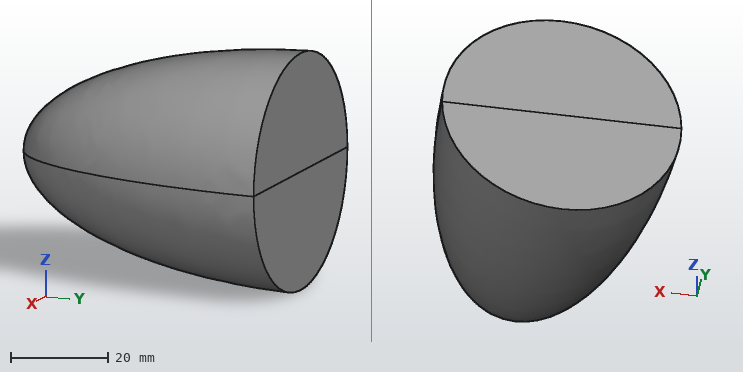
import cadquery as cq
import math

length = 61.0
base_diameter = 50.0
spheroid_semi_length = 65.15

base_y = length / 2
tip_y = -length / 2
spheroid_centre_y = tip_y + spheroid_semi_length
base_radius = base_diameter / 2
base_offset_ratio = (spheroid_centre_y - base_y) / spheroid_semi_length
spheroid_radius = base_radius / math.sqrt(1 - base_offset_ratio**2)

base_angle = -math.degrees(math.asin(base_offset_ratio))
tip_angle = -90.0
half_turn = 180.0


def half_profile():
    """Closed outline in the XY plane between the axis and the elliptical outer curve."""
    return (
        cq.Workplane("XY")
        .moveTo(0, spheroid_centre_y)
        .ellipseArc(
            spheroid_radius,
            spheroid_semi_length,
            tip_angle,
            base_angle,
            startAtCurrent=False,
        )
        .lineTo(0, base_y)
        .close()
    )


def nose_half(start_angle):
    """Solid half of the nose, swept half a turn about Y from the +X side and then turned into place."""
    half = half_profile().revolve(half_turn, (0, 0, 0), (0, 1, 0))
    return half.rotate((0, 0, 0), (0, 1, 0), start_angle)


nose_halves = [nose_half(start_angle).val() for start_angle in (0, half_turn)]

result = cq.Compound.makeCompound(nose_halves)